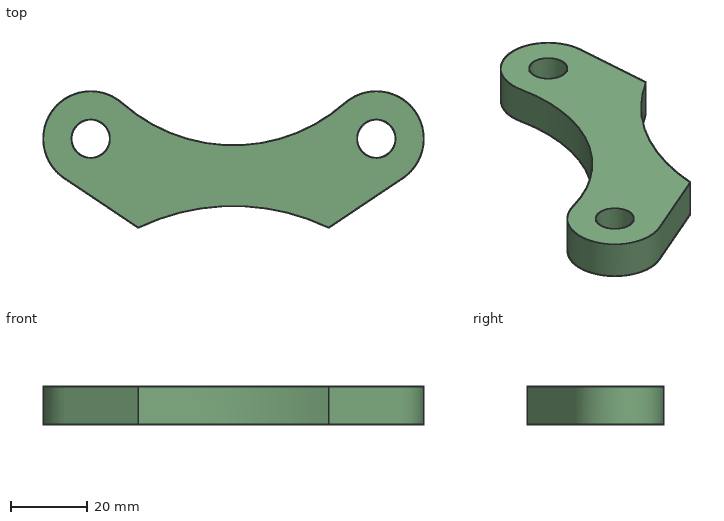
import cadquery as cq
import math

thickness = 10.0
hole_spacing = 75.0
hole_diameter = 10.0
lug_radius = 12.5
corner_spacing = 50.0
corner_y = -23.4
upper_arc_low_y = -1.7
lower_arc_high_y = -17.7

lug_x = hole_spacing / 2
corner_x = corner_spacing / 2

tangent_reach = lug_radius - upper_arc_low_y
upper_center_y = (lug_x**2 - tangent_reach**2) / (2 * tangent_reach)
upper_angle = math.atan2(upper_center_y, -lug_x)

corner_distance = math.hypot(corner_x - lug_x, corner_y)
corner_angle = math.atan2(corner_y, corner_x - lug_x)
flank_angle = corner_angle + math.acos(lug_radius / corner_distance)


def right_lug_point(angle):
    """Point on the right lug's rim at the given angle from +X."""
    return (lug_x + lug_radius * math.cos(angle), lug_radius * math.sin(angle))


def mirrored(point):
    """Reflect a point across the Y axis."""
    return (-point[0], point[1])


upper_tangent = right_lug_point(upper_angle)
flank_tangent = right_lug_point(flank_angle)
lug_outer = right_lug_point((upper_angle + flank_angle) / 2)
corner = (corner_x, corner_y)

plate = (
    cq.Workplane("XY")
    .moveTo(*corner)
    .lineTo(*flank_tangent)
    .threePointArc(lug_outer, upper_tangent)
    .threePointArc((0, upper_arc_low_y), mirrored(upper_tangent))
    .threePointArc(mirrored(lug_outer), mirrored(flank_tangent))
    .lineTo(*mirrored(corner))
    .threePointArc((0, lower_arc_high_y), corner)
    .close()
    .extrude(thickness)
)

result = (
    plate.faces(">Z")
    .workplane(origin=(0, 0, thickness))
    .pushPoints([(-lug_x, 0), (lug_x, 0)])
    .hole(hole_diameter)
)